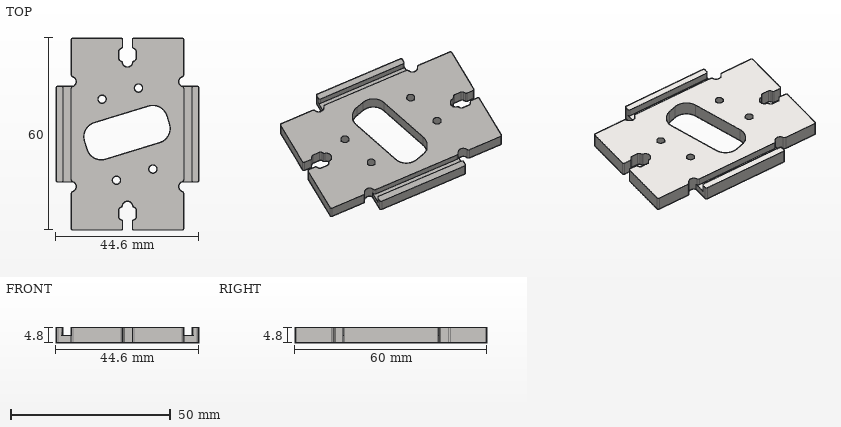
import cadquery as cq
import math

plate_width = 35.2
plate_length = 60.0
thickness = 4.8
corner_radius = 0.5

overall_width = 44.6
rail_length = 30.0
rail_floor = 2.3
rail_wall = 2.1

screw_radius = 1.6

notch_x = 17.65
notch_y = 16.4
notch_blend_radius = 0.7

neck_width = 3.0
slot_depth = 9.0
nut_flats = 5.4
nut_depth = 5.2
nut_corner_radius = 0.8

tilt = 17.0
window_length = 26.9
window_width = 11.9
window_radius = 4.6
window_shift = 0.5
hole_diameter = 2.5
hole_pitch = 11.9
hole_row = 12.77
hole_row_shift = 1.55

overlap = 1.0

hexagon_sides = 6


def centred_block(width, length, height):
    return cq.Workplane("XY").box(width, length, height, centered=(True, True, False))


def edge_notches():
    """Four vertical cylinders along the long sides of the plate."""
    centres = [(sx * notch_x, sy * notch_y) for sx in (-1, 1) for sy in (-1, 1)]
    return cq.Workplane("XY").pushPoints(centres).circle(screw_radius).extrude(thickness)


def nut_slot(side):
    """Neck ending in a screw hole, with a hexagon across it, open at the +Y (1) or -Y (-1) end."""
    edge_y = side * plate_length / 2
    screw_y = edge_y - side * (slot_depth - screw_radius)
    neck_length = slot_depth - screw_radius + overlap
    neck = centred_block(neck_width, neck_length, thickness).translate(
        (0, screw_y + side * neck_length / 2, 0)
    )
    screw_end = cq.Workplane("XY").center(0, screw_y).circle(screw_radius).extrude(thickness)
    nut_corners = nut_flats / math.cos(math.pi / hexagon_sides)
    nut_turn = 180 / hexagon_sides
    nut = (
        cq.Workplane("XY")
        .polygon(hexagon_sides, nut_corners)
        .extrude(thickness)
        .edges("|Z")
        .fillet(nut_corner_radius)
        .rotate((0, 0, 0), (0, 0, 1), nut_turn)
        .translate((0, edge_y - side * nut_depth, 0))
    )
    return neck.union(nut).union(screw_end)


def is_slot_corner(edge):
    """True where the neck meets the nut opening, the screw hole or the end of the plate."""
    return abs(edge.Center().x) <= screw_radius


def is_notch_corner(edge):
    """True where a notch breaks through a long side of the plate."""
    centre = edge.Center()
    on_long_side = abs(centre.x) > plate_width / 2 - corner_radius / 2
    return on_long_side and abs(centre.y) < notch_y + screw_radius


def plate():
    body = (
        centred_block(plate_width, plate_length, thickness)
        .edges("|Z")
        .fillet(corner_radius)
        .cut(edge_notches())
    )
    for side in (-1, 1):
        body = body.cut(nut_slot(side))
    body = body.edges("|Z").filter(is_slot_corner).fillet(corner_radius)
    return body.edges("|Z").filter(is_notch_corner).fillet(notch_blend_radius)


def rail(side):
    """L-shaped rail along the +X (1) or -X (-1) side of the plate."""
    outer_x = overall_width / 2
    inner_x = plate_width / 2 - overlap
    ledge_width = outer_x - inner_x
    ledge = centred_block(ledge_width, rail_length, rail_floor).translate(
        (side * (outer_x + inner_x) / 2, 0, 0)
    )
    outer_face = ">X" if side > 0 else "<X"
    ledge = ledge.faces(outer_face).edges("|Z").fillet(corner_radius)
    wall = (
        centred_block(rail_wall, rail_length, thickness - rail_floor)
        .edges("|Z")
        .fillet(corner_radius)
        .translate((side * (outer_x - rail_wall / 2), 0, rail_floor))
    )
    return ledge.union(wall)


def window():
    return (
        centred_block(window_length, window_width, thickness)
        .edges("|Z")
        .fillet(window_radius)
        .translate((0, window_shift, 0))
    )


def screw_holes():
    """Two rows of two holes, one row on each long side of the window."""
    centres = [
        (row * hole_row_shift + end * hole_pitch / 2, row * hole_row)
        for row in (-1, 1)
        for end in (-1, 1)
    ]
    return cq.Workplane("XY").pushPoints(centres).circle(hole_diameter / 2).extrude(thickness)


openings = window().union(screw_holes()).rotate((0, 0, 0), (0, 0, 1), tilt)
result = plate().union(rail(-1)).union(rail(1)).cut(openings)